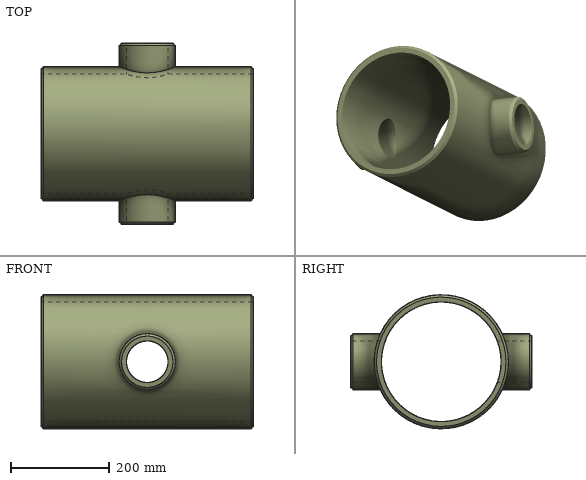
import cadquery as cq

run_length = 431.8
run_diameter = 273.05

branch_span = 368.3
branch_diameter = 114.3

wall = 15.09
end_chamfer = 5.0

run_bore = run_diameter - 2 * wall
branch_bore = branch_diameter - 2 * wall


def centred_cylinder(plane, diameter, length):
    """Cylinder centred on the origin, with its axis normal to the plane."""
    return cq.Workplane(plane).circle(diameter / 2).extrude(length / 2, both=True)


def bevelled_bar(plane, diameter, length):
    """Solid bar with the outer edge of both ends chamfered."""
    bar = centred_cylinder(plane, diameter, length)
    return bar.edges("%CIRCLE").chamfer(end_chamfer)


run = bevelled_bar("YZ", run_diameter, run_length)
branches = bevelled_bar("XZ", branch_diameter, branch_span)

result = (
    run.union(branches)
    .cut(centred_cylinder("YZ", run_bore, run_length))
    .cut(centred_cylinder("XZ", branch_bore, branch_span))
)